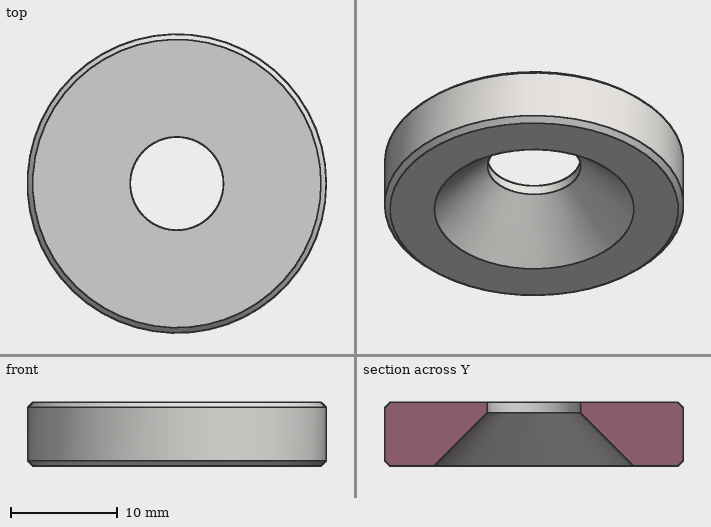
import cadquery as cq

outer_diameter = 28.0
thickness = 6.0
edge_chamfer = 0.5
hole_diameter = 8.7
straight_hole_depth = 1.0
countersink_depth = thickness - straight_hole_depth
countersink_diameter = hole_diameter + 2 * countersink_depth

disc = (
    cq.Workplane("XY")
    .circle(outer_diameter / 2)
    .extrude(thickness)
    .edges()
    .chamfer(edge_chamfer)
)

hole_radius = hole_diameter / 2
hole = (
    cq.Workplane("XZ")
    .moveTo(0, 0)
    .lineTo(countersink_diameter / 2, 0)
    .lineTo(hole_radius, countersink_depth)
    .lineTo(hole_radius, thickness)
    .lineTo(0, thickness)
    .close()
    .revolve(360, (0, 0), (0, 1))
)

result = disc.cut(hole)